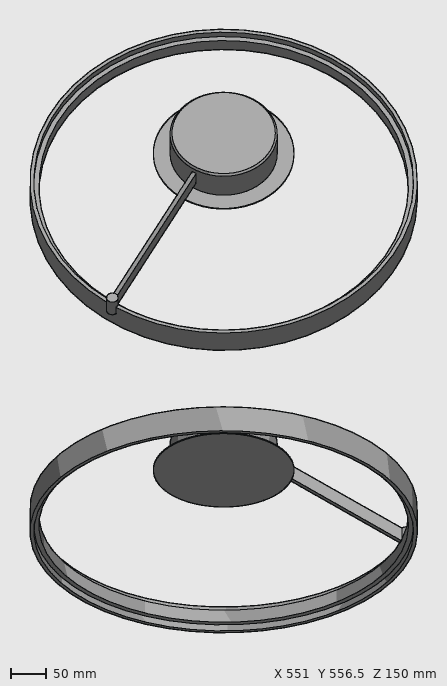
import cadquery as cq

ring_radius = 275.5
ring_height = 40.0
band_thickness = 5.5
rib_thickness = 7.0
rib_height = 20.0

overall_height = 150.0
flange_radius = 100.0
flange_thickness = 1.5
flange_base_z = 102.5
drum_radius = 76.0
drum_edge_chamfer = 3.0

arm_x = 4.0
arm_width = 6.5
arm_overrun = 5.5
arm_vertical_depth = 21.5
arm_top_at_drum = 140.0
post_radius = 8.5
post_y = -272.5
post_base_z = 25.0
post_top_z = 54.0


def cylinder(radius, base_z, top_z):
    return cq.Workplane("XY").workplane(offset=base_z).circle(radius).extrude(top_z - base_z)


def make_canopy():
    flange = cylinder(flange_radius, flange_base_z, flange_base_z + flange_thickness)
    drum = cylinder(drum_radius, flange_base_z, overall_height)
    drum = drum.faces(">Z").chamfer(drum_edge_chamfer)
    return flange.union(drum)


def make_arm(canopy):
    post = cylinder(post_radius, post_base_z, post_top_z).translate((arm_x, post_y, 0))

    post_face_y = post_y + post_radius
    slope = (arm_top_at_drum - post_top_z) / (-drum_radius - post_face_y)
    start_y = post_face_y
    end_y = -drum_radius + arm_overrun
    end_top_z = post_top_z + slope * (end_y - start_y)
    bar = (
        cq.Workplane("YZ", origin=(arm_x, 0, 0))
        .moveTo(post_y, post_top_z)
        .lineTo(start_y, post_top_z)
        .lineTo(end_y, end_top_z)
        .lineTo(end_y, end_top_z - arm_vertical_depth)
        .lineTo(start_y, post_top_z - arm_vertical_depth)
        .lineTo(post_y, post_top_z - arm_vertical_depth)
        .close()
        .extrude(arm_width / 2, both=True)
    )
    return post.union(bar).cut(canopy)


def make_ring(arm):
    band_inner_radius = ring_radius - band_thickness
    rib_inner_radius = band_inner_radius - rib_thickness
    rib_base_z = (ring_height - rib_height) / 2
    rib_top_z = rib_base_z + rib_height
    band = cylinder(ring_radius, 0, ring_height).cut(cylinder(band_inner_radius, 0, ring_height))
    rib = cylinder(band_inner_radius, rib_base_z, rib_top_z).cut(
        cylinder(rib_inner_radius, rib_base_z, rib_top_z)
    )
    return band.union(rib).cut(arm)


canopy = make_canopy()
arm = make_arm(canopy)
ring = make_ring(arm)

result = cq.Compound.makeCompound([canopy.solids().val(), arm.solids().val(), ring.solids().val()])